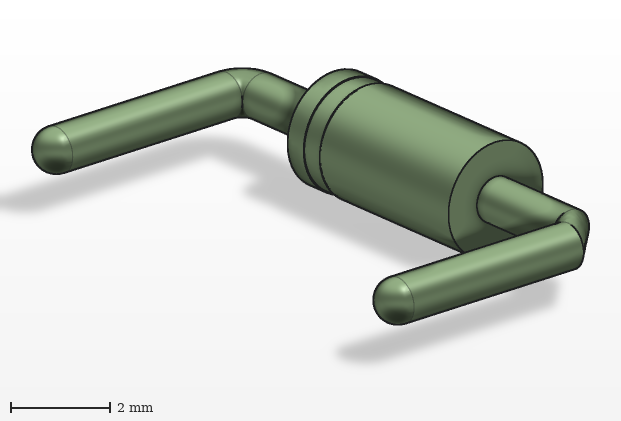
import cadquery as cq
import math

span = 11.6
lead_diameter = 1.0
lead_radius = lead_diameter / 2
body_diameter = 2.5
body_length = 5.0
body_start = 3.28
band_width = 0.5
groove_diameter = 2.46
tip_drop = 5.5

left_leg_x = -span / 2 + lead_radius
right_leg_x = span / 2 - lead_radius
left_bend_x = left_leg_x + lead_radius
right_bend_x = right_leg_x - lead_radius
body_x = -span / 2 + body_start
leg_top_y = -lead_radius
leg_end_y = lead_radius - tip_drop


def rod(start_x, length, diameter):
    """Cylinder along the X axis."""
    return cq.Workplane("YZ").workplane(offset=start_x).circle(diameter / 2).extrude(length)


def leg(center_x):
    """Leg running toward -Y with a hemispherical tip."""
    shaft = (
        cq.Workplane("XZ", origin=(center_x, leg_top_y, 0))
        .circle(lead_radius)
        .extrude(leg_top_y - leg_end_y)
    )
    tip = cq.Workplane("XY").sphere(lead_radius).translate((center_x, leg_end_y, 0))
    return shaft.union(tip)


def round_bend():
    """Quarter turn about the inner edge where the left leg meets its lead."""
    profile = (
        cq.Workplane("YZ", origin=(left_bend_x, leg_top_y, 0))
        .moveTo(0, 0)
        .threePointArc((lead_radius, lead_radius), (lead_diameter, 0))
        .threePointArc((lead_radius, -lead_radius), (0, 0))
        .close()
    )
    return profile.revolve(90, (0, 0, 0), (0, 1, 0))


def beveled_bend():
    """Oblique cylinder joining the right lead's end circle to its leg's end circle.

    Seen along its diagonal, the bend is an ellipse: full height in Z, but
    narrowed by the 45 degree slant across its width.
    """
    diagonal = cq.Plane(
        origin=(right_bend_x - lead_radius, lead_radius, 0),
        xDir=(-1, -1, 0),
        normal=(1, -1, 0),
    )
    slanted_rod = (
        cq.Workplane(diagonal)
        .ellipse(lead_radius / math.sqrt(2), lead_radius)
        .extrude(2 * lead_diameter)
    )
    corner = (
        cq.Workplane("XY")
        .box(lead_diameter, lead_diameter, lead_diameter)
        .translate((right_leg_x, 0, 0))
    )
    return slanted_rod.intersect(corner)


lead_wire = rod(left_bend_x, right_bend_x - left_bend_x, lead_diameter)
body = rod(body_x, body_length, body_diameter)
groove = rod(body_x + band_width, band_width, body_diameter).cut(
    rod(body_x + band_width, band_width, groove_diameter)
)
result = body.cut(groove).union(lead_wire)
result = result.union(leg(left_leg_x)).union(leg(right_leg_x))
result = result.union(round_bend()).union(beveled_bend())